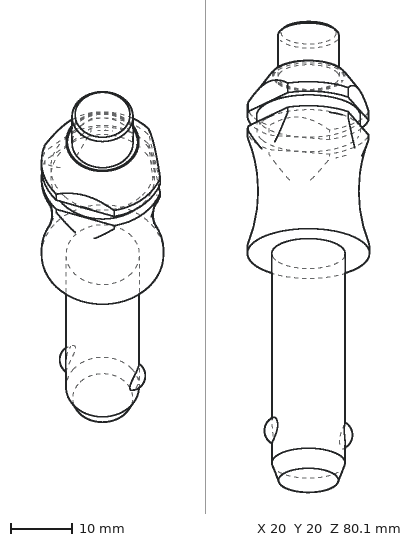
import cadquery as cq
import math

OVERALL_HEIGHT = 80.1
TIP_TAPER_HEIGHT = 3.1
BALL_HEIGHT = 8.5
HANDLE_BOTTOM = 40.6
HANDLE_TOP = 72.5

SHANK_RADIUS = 6.0
TIP_RADIUS = 4.9
HANDLE_RADIUS = 10.0
WAIST_RADIUS = 8.25
NECK_RADIUS = 8.5
BUTTON_RADIUS = 5.0

LOWER_RIM_HEIGHT = 1.2
UPPER_RIM_HEIGHT = 0.9
SLEEVE_HEIGHT = 22.0
SLEEVE_TOP = HANDLE_BOTTOM + SLEEVE_HEIGHT
WAIST_BOTTOM = HANDLE_BOTTOM + LOWER_RIM_HEIGHT
WAIST_TOP = SLEEVE_TOP - UPPER_RIM_HEIGHT
WAIST_MIDDLE = (WAIST_BOTTOM + WAIST_TOP) / 2

NECK_HEIGHT = 2.6
CAP_RIM_HEIGHT = 1.7
CAP_SHOULDER_RADIUS = 6.55
CAP_TOP_RADIUS = 5.95
CAP_SHOULDER_HEIGHT = 0.7
CAP_BOTTOM = SLEEVE_TOP + NECK_HEIGHT
CONE_BOTTOM = CAP_BOTTOM + CAP_RIM_HEIGHT
CONE_TOP = HANDLE_TOP - CAP_SHOULDER_HEIGHT

BUTTON_CHAMFER = 0.5
RECESS_RADIUS = 5.75
RECESS_DEPTH = 0.3

BALL_RADIUS = 2.4
BALL_REACH = 7.3
BALL_CENTRE = BALL_REACH - BALL_RADIUS

FLAT_COUNT = 3
FLAT_SPAN = 60
FLAT_DISTANCE = HANDLE_RADIUS * math.cos(math.radians(FLAT_SPAN / 2))
FIRST_FLAT_ANGLE = -90


def turned_body():
    """Revolve the shank, sleeve, neck, cap and button about Z."""
    recess_floor = HANDLE_TOP - RECESS_DEPTH
    return (
        cq.Workplane("XZ")
        .lineTo(TIP_RADIUS, 0)
        .lineTo(SHANK_RADIUS, TIP_TAPER_HEIGHT)
        .lineTo(SHANK_RADIUS, HANDLE_BOTTOM)
        .lineTo(HANDLE_RADIUS, HANDLE_BOTTOM)
        .lineTo(HANDLE_RADIUS, WAIST_BOTTOM)
        .threePointArc((WAIST_RADIUS, WAIST_MIDDLE), (HANDLE_RADIUS, WAIST_TOP))
        .lineTo(HANDLE_RADIUS, SLEEVE_TOP)
        .lineTo(NECK_RADIUS, SLEEVE_TOP)
        .lineTo(NECK_RADIUS, CAP_BOTTOM)
        .lineTo(HANDLE_RADIUS, CAP_BOTTOM)
        .lineTo(HANDLE_RADIUS, CONE_BOTTOM)
        .lineTo(CAP_SHOULDER_RADIUS, CONE_TOP)
        .lineTo(CAP_TOP_RADIUS, HANDLE_TOP)
        .lineTo(RECESS_RADIUS, HANDLE_TOP)
        .lineTo(RECESS_RADIUS, recess_floor)
        .lineTo(BUTTON_RADIUS, recess_floor)
        .lineTo(BUTTON_RADIUS, OVERALL_HEIGHT - BUTTON_CHAMFER)
        .lineTo(BUTTON_RADIUS - BUTTON_CHAMFER, OVERALL_HEIGHT)
        .lineTo(0, OVERALL_HEIGHT)
        .close()
        .revolve(360, (0, 0), (0, 1))
    )


def flat_cutter(angle):
    """Block outside one flat, from mid-waist to the top of the cap."""
    return (
        cq.Workplane("XY")
        .workplane(offset=WAIST_MIDDLE)
        .center(FLAT_DISTANCE, 0)
        .rect(HANDLE_RADIUS, 2 * HANDLE_RADIUS, centered=(False, True))
        .extrude(HANDLE_TOP - WAIST_MIDDLE)
        .rotate((0, 0, 0), (0, 0, 1), angle)
    )


def locking_ball(side):
    """Ball on the +X (side = 1) or -X (side = -1) face of the shank."""
    return cq.Workplane("XY").sphere(BALL_RADIUS).translate((side * BALL_CENTRE, 0, BALL_HEIGHT))


result = turned_body()
for index in range(FLAT_COUNT):
    result = result.cut(flat_cutter(FIRST_FLAT_ANGLE + index * 360 / FLAT_COUNT))
for side in (-1, 1):
    result = result.union(locking_ball(side))